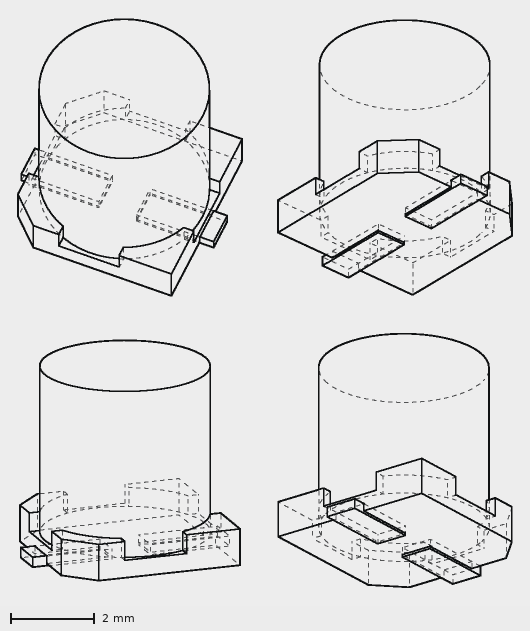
import cadquery as cq

total_length = 5.0
total_height = 4.65

base_width = 4.29
base_bottom = 0.06
base_top = 0.97
corner_chamfer = 0.7
notch_width = 1.565
notch_floor = 0.5

can_diameter = 4.075

lead_length = 2.01
lead_width = 0.83
lead_thickness = 0.25


def make_can():
    """Plain cylinder standing on the floor of the base recess."""
    return (
        cq.Workplane("XY", origin=(0, 0, notch_floor))
        .circle(can_diameter / 2)
        .extrude(total_height - notch_floor)
    )


def make_lead(side):
    """Flat bar reaching outward to one end of the part; side is -1 or +1 along X."""
    center_x = side * (total_length - lead_length) / 2
    return (
        cq.Workplane("XY", origin=(center_x, 0, 0))
        .rect(lead_length, lead_width)
        .extrude(lead_thickness)
    )


def make_base(can, leads):
    """Square base with two chamfered corners, a cross of notches and seats for can and leads."""
    base = (
        cq.Workplane("XY", origin=(0, 0, base_bottom))
        .rect(base_width, base_width)
        .extrude(base_top - base_bottom)
        .edges("|Z and <X")
        .chamfer(corner_chamfer)
    )

    notch_plane = cq.Workplane("XY", origin=(0, 0, notch_floor))
    notch_depth = base_top - notch_floor
    base = base.cut(notch_plane.rect(base_width, notch_width).extrude(notch_depth))
    base = base.cut(notch_plane.rect(notch_width, base_width).extrude(notch_depth))

    base = base.cut(can)
    for lead in leads:
        base = base.cut(lead)
    return base


can = make_can()
leads = [make_lead(side) for side in (-1, 1)]
base = make_base(can, leads)

result = cq.Compound.makeCompound([base.val(), can.val(), *[lead.val() for lead in leads]])